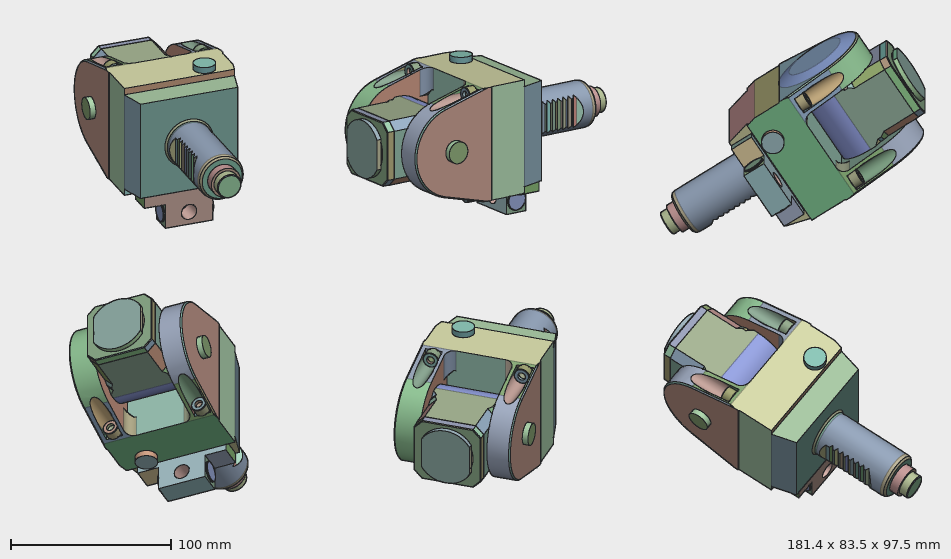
import cadquery as cq
import math


body_half_height = 37.0
body_y_min = -37.0
body_y_max = 38.8
rear_block_half = 32.7
rear_block_length = 16.3
taper_angle = 15.0
slot_half_width = 22.3
slot_corner_radius = 6.0
slot_relief_half_height = 22.7
slot_relief_chamfer = 4.5

pivot_x = -69.7
arm_radius = 30.1
arm_y_min = -37.5
arm_y_max = 39.4
arm_rear_x = -40.8
arm_edge_chamfer = 0.9

pin_radius = 7.0
pivot_pin_end_y = -41.4
body_pin_x = -24.3
body_pin_y = 20.0
body_pin_half_length = 41.0

cover_base_radius = 28.7
cover_top_radius = 19.0
cover_end_y = 42.1

head_half_height = 21.0
head_front_x = -110.5
head_corner_chamfer = 5.5
head_corner_overshoot = 0.4
head_edge_chamfer = 0.5
face_plate_thickness = 5.3
face_plate_inset = 0.2
face_plate_corner_chamfer = 5.3
head_corner_stations = [
    (head_front_x, head_corner_chamfer),
    (-83.0, head_corner_chamfer),
    (-79.7, 3.3),
    (-77.1, 3.3),
    (-73.3, 0),
]
nose_radius = 18.7
nose_half_width = 16.0
nose_length = 3.6
spigot_radius = 17.0
spigot_length = 0.4

screw_y = 30.1
screw_z = 32.5
screw_radius = 5.0
screw_head_length = 6.4
screw_socket_radius = 2.5
screw_socket_depth = 2.2
screw_socket_cone_length = 1.5
screw_edge_chamfer = 0.4
screw_pocket_radius = 5.5
screw_seat_x = -50.5

shank_radius = 15.0
shank_length = 55.2
shank_lead_length = 3.5
shank_lead_radius = 14.7
shank_edge_break = 1.3
collar_radius = 16.3
collar_length = 1.3
collar_foot_radius = 15.2
end_step_radius = 9.8
end_step_end_x = 61.3
tip_radius = 8.0
tip_end_x = 67.3
tip_chamfer = 0.5

tooth_flat_y = -12.2
groove_depth = 1.5
groove_count = 8
groove_pitch = 4.0
first_groove_x = 11.8
flat_start_x = 7.6
teeth_end_x = 44.5

block_front_x = -15.0
block_rear_x = -0.2
shoulder_half_width = 30.1
shoulder_bottom_z = -40.1
block_half_width = 16.0
block_bottom_z = -56.5
block_hole_radius = 5.0
block_hole_z = -48.0
button_radius = 6.7
button_height = 1.0
button_chamfer = 0.4


def box(x_range, y_range, z_range):
    corner = cq.Vector(x_range[0], y_range[0], z_range[0])
    return cq.Workplane(obj=cq.Solid.makeBox(
        x_range[1] - x_range[0], y_range[1] - y_range[0], z_range[1] - z_range[0], corner))


def cylinder_x(radius, x_start, x_end, y=0.0, z=0.0):
    return cq.Workplane("YZ", origin=(x_start, y, z)).circle(radius).extrude(x_end - x_start)


def cylinder_y(radius, y_start, y_end, x, z=0.0):
    return cq.Workplane("XZ", origin=(x, y_start, z)).circle(radius).extrude(y_start - y_end)


tangent_angle = math.radians(taper_angle)
arm_tangent_x = pivot_x - arm_radius * math.sin(tangent_angle)
arm_tangent_z = arm_radius * math.cos(tangent_angle)
arm_shoulder_x = arm_tangent_x + (body_half_height - arm_tangent_z) / math.tan(tangent_angle)


def make_body():
    """Block tapered towards the rear in plan, with a lower rear section."""
    taper = math.tan(tangent_angle)
    top_taper_x = -(body_y_max - rear_block_half) / taper
    bottom_taper_x = -(-body_y_min - rear_block_half) / taper
    body = (
        cq.Workplane("XY", origin=(0, 0, -body_half_height))
        .polyline([
            (arm_shoulder_x, body_y_min),
            (bottom_taper_x, body_y_min),
            (0, -rear_block_half),
            (0, rear_block_half),
            (top_taper_x, body_y_max),
            (arm_shoulder_x, body_y_max),
        ])
        .close()
        .extrude(2 * body_half_height)
    )
    y_range = (body_y_min, body_y_max)
    for side in (-1, 1):
        z_range = sorted((side * rear_block_half, side * body_half_height))
        body = body.cut(box((-rear_block_length, 0), y_range, z_range))
    return body


def arm_outline(y):
    """Rounded arm profile whose straight flanks run tangent from the pivot arc."""
    return (
        cq.Workplane("XZ", origin=(0, y, 0))
        .moveTo(arm_rear_x, body_half_height)
        .lineTo(arm_shoulder_x, body_half_height)
        .lineTo(arm_tangent_x, arm_tangent_z)
        .threePointArc((pivot_x - arm_radius, 0), (arm_tangent_x, -arm_tangent_z))
        .lineTo(arm_shoulder_x, -body_half_height)
        .lineTo(arm_rear_x, -body_half_height)
        .close()
    )


def make_clevis():
    """Fork with the bevelled edges on both outer faces."""
    fork = arm_outline(arm_y_max).extrude(arm_y_max - arm_y_min)
    flank_limit_z = (arm_tangent_z + 3 * body_half_height) / 4
    flanks_and_rear = cq.selectors.BoxSelector(
        (pivot_x - 2 * arm_radius, 2 * arm_y_min, -flank_limit_z),
        (0, 2 * arm_y_max, flank_limit_z),
    )
    for face in ("<Y", ">Y"):
        fork = fork.faces(face).edges(flanks_and_rear).chamfer(arm_edge_chamfer)
    return fork


def make_slot():
    """Opening between the arms, with rear corners rounded except beside the head."""
    front_x = pivot_x - 2 * arm_radius
    y_range = (-slot_half_width, slot_half_width)
    z_range = (-body_half_height, body_half_height)
    slot = box((front_x, arm_shoulder_x), y_range, z_range)
    slot = slot.edges("|Z and >X").fillet(slot_corner_radius)
    relief = box(
        (arm_shoulder_x - slot_corner_radius, arm_shoulder_x),
        y_range,
        (-slot_relief_half_height, slot_relief_half_height),
    )
    return slot.union(relief.edges("|X").chamfer(slot_relief_chamfer))


def make_cover():
    """Conical bearing cover on the +Y arm."""
    return (
        cq.Workplane("XZ", origin=(pivot_x, arm_y_max, 0))
        .circle(cover_base_radius)
        .workplane(offset=arm_y_max - cover_end_y)
        .circle(cover_top_radius)
        .loft()
    )


def make_head_corner(y_side, z_side):
    """Corner wedge removed along the head, running out obliquely at the pivot end."""
    y = y_side * (slot_half_width + head_corner_overshoot)
    z = z_side * (head_half_height + head_corner_overshoot)

    def triangle(x, chamfer):
        leg = chamfer + 2 * head_corner_overshoot
        return cq.Wire.makePolygon([
            cq.Vector(x, y, z),
            cq.Vector(x, y - y_side * leg, z),
            cq.Vector(x, y, z - z_side * leg),
        ], close=True)

    sections = [triangle(x, chamfer) for x, chamfer in head_corner_stations]
    return cq.Workplane(obj=cq.Solid.makeLoft(sections, True))


def make_head():
    """Square head rounded about the pivot, with a nose carrying two flats."""
    y_range = (-slot_half_width, slot_half_width)
    z_range = (-head_half_height, head_half_height)
    head = box((head_front_x, pivot_x), y_range, z_range)
    head = head.union(cylinder_y(head_half_height, -slot_half_width, slot_half_width, pivot_x))
    for y_side in (-1, 1):
        for z_side in (-1, 1):
            head = head.cut(make_head_corner(y_side, z_side))

    plate_rear_x = head_front_x + face_plate_thickness
    plate_half_width = slot_half_width - face_plate_inset
    plate_half_height = head_half_height - face_plate_inset
    plate = box(
        (head_front_x, plate_rear_x),
        (-plate_half_width, plate_half_width),
        (-plate_half_height, plate_half_height),
    )
    plate = plate.edges("|X").chamfer(face_plate_corner_chamfer).faces("<X").chamfer(head_edge_chamfer)
    head = head.cut(box((head_front_x, plate_rear_x), y_range, z_range)).union(plate)

    nose_front_x = head_front_x - nose_length
    nose_rear_x = head_front_x - spigot_length
    nose = cylinder_x(nose_radius, nose_front_x, nose_rear_x)
    nose_y_range = (-nose_half_width, nose_half_width)
    nose = nose.intersect(box((nose_front_x, nose_rear_x), nose_y_range, z_range))
    return head.union(nose).union(cylinder_x(spigot_radius, nose_rear_x, head_front_x))


def make_screw_pocket(y, z_side):
    """U-shaped counterbore open at the front and at the outer flank of an arm."""
    front_x = pivot_x - arm_radius
    pocket = cylinder_x(screw_pocket_radius, front_x, screw_seat_x, y, z_side * screw_z)
    y_range = (y - screw_pocket_radius, y + screw_pocket_radius)
    z_range = sorted((z_side * screw_z, z_side * (body_half_height + screw_pocket_radius)))
    return pocket.union(box((front_x, screw_seat_x), y_range, z_range))


def make_screw(y, z_side):
    """Cap screw head with a cone-bottomed socket facing forward."""
    front_x = screw_seat_x - screw_head_length
    z = z_side * screw_z
    head = cylinder_x(screw_radius, front_x, screw_seat_x, y, z)
    head = head.faces("<X").chamfer(screw_edge_chamfer)
    socket_end_x = front_x + screw_socket_depth
    socket = cylinder_x(screw_socket_radius, front_x, socket_end_x, y, z)
    cone = cq.Solid.makeCone(
        screw_socket_radius, 0, screw_socket_cone_length, cq.Vector(socket_end_x, y, z), cq.Vector(1, 0, 0))
    return head.cut(socket).cut(cq.Workplane(obj=cone))


def make_shank():
    """Turned shank with a flared root collar, broken end edge and two end steps."""
    return (
        cq.Workplane("XY")
        .polyline([
            (-collar_length, 0),
            (-collar_length, collar_radius),
            (0, collar_radius),
            (collar_length, collar_foot_radius),
            (2 * collar_length, shank_radius),
            (shank_length - shank_lead_length, shank_radius),
            (shank_length - shank_edge_break, shank_lead_radius),
            (shank_length, shank_lead_radius - shank_edge_break),
            (shank_length, end_step_radius),
            (end_step_end_x, end_step_radius),
            (end_step_end_x, tip_radius),
            (tip_end_x - tip_chamfer, tip_radius),
            (tip_end_x, tip_radius - tip_chamfer),
            (tip_end_x, 0),
        ])
        .close()
        .revolve(360, (0, 0, 0), (1, 0, 0))
    )


def make_tooth_cut():
    """Flat with sloping ends and a row of 90 degree V grooves, cut into the -Y side."""
    clearance_y = -shank_radius - groove_depth
    run_out = tooth_flat_y - clearance_y
    outline = [(flat_start_x - run_out, clearance_y), (flat_start_x, tooth_flat_y)]
    for index in range(groove_count):
        groove_x = first_groove_x + index * groove_pitch
        outline.append((groove_x - groove_depth, tooth_flat_y))
        outline.append((groove_x, tooth_flat_y + groove_depth))
        outline.append((groove_x + groove_depth, tooth_flat_y))
    outline.append((teeth_end_x, -shank_radius))
    outline.append((teeth_end_x, clearance_y))
    return (
        cq.Workplane("XY", origin=(0, 0, -shank_radius))
        .polyline(outline)
        .close()
        .extrude(2 * shank_radius)
    )


def make_stop_block():
    """Shouldered block below the body with a cross hole and a button on each side."""
    x_range = (block_front_x, block_rear_x)
    shoulder_y_range = (-shoulder_half_width, shoulder_half_width)
    shoulder = box(x_range, shoulder_y_range, (shoulder_bottom_z, -rear_block_half))
    lower = box(x_range, (-block_half_width, block_half_width), (block_bottom_z, shoulder_bottom_z))
    block = shoulder.union(lower)
    block_mid_x = (block_front_x + block_rear_x) / 2
    end_y = block_half_width + button_height
    button = cylinder_y(button_radius, -end_y, end_y, block_mid_x, block_hole_z)
    block = block.union(button.faces("<Y or >Y").chamfer(button_chamfer))
    return block.cut(cylinder_x(block_hole_radius, block_front_x, block_rear_x, 0, block_hole_z))


result = make_body().union(make_clevis()).cut(make_slot())

for y_side in (-1, 1):
    for z_side in (-1, 1):
        result = result.cut(make_screw_pocket(y_side * screw_y, z_side))
        result = result.union(make_screw(y_side * screw_y, z_side))

result = (
    result
    .union(make_cover())
    .union(cylinder_y(pin_radius, arm_y_min, pivot_pin_end_y, pivot_x))
    .union(
        cq.Workplane("XY", origin=(body_pin_x, body_pin_y, -body_pin_half_length))
        .circle(pin_radius)
        .extrude(2 * body_pin_half_length)
    )
    .union(make_head())
    .union(make_shank().cut(make_tooth_cut()))
    .union(make_stop_block())
)